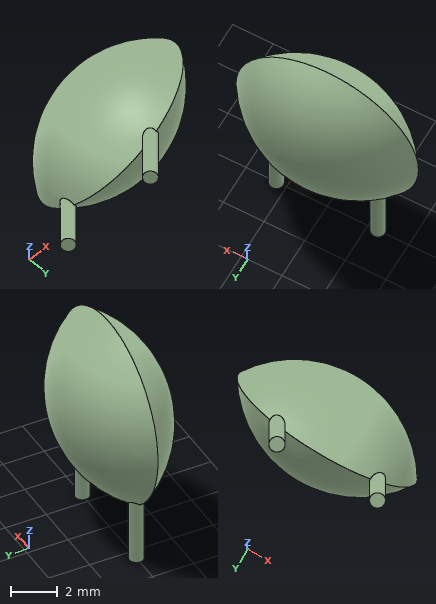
import cadquery as cq

body_diameter = 9.0
body_thickness = 5.0

lead_diameter = 0.7
lead_pitch = 5.0
overall_height = 11.09

body_radius = body_diameter / 2
half_thickness = body_thickness / 2
lead_bottom = body_radius - overall_height


def make_body():
    """Revolve a half-lens outline about Y: two spherical caps meeting in a sharp rim."""
    sphere_radius = (body_radius**2 + half_thickness**2) / (2 * half_thickness)
    cap_offset = sphere_radius - half_thickness
    mid_radius = body_radius / 2
    mid_height = (sphere_radius**2 - mid_radius**2) ** 0.5 - cap_offset
    return (
        cq.Workplane("XY")
        .moveTo(0, -half_thickness)
        .threePointArc((-mid_radius, -mid_height), (-body_radius, 0))
        .threePointArc((-mid_radius, mid_height), (0, half_thickness))
        .close()
        .revolve(360, (0, 0, 0), (0, 1, 0))
    )


def make_lead(x):
    """Straight lead from its free end up into the body, to the level of the body's axis."""
    base_plane = cq.Plane(origin=(x, 0, lead_bottom), xDir=(0, 1, 0), normal=(0, 0, 1))
    return cq.Workplane(base_plane).circle(lead_diameter / 2).extrude(-lead_bottom)


result = make_body()
for side in (-1, 1):
    result = result.union(make_lead(side * lead_pitch / 2))